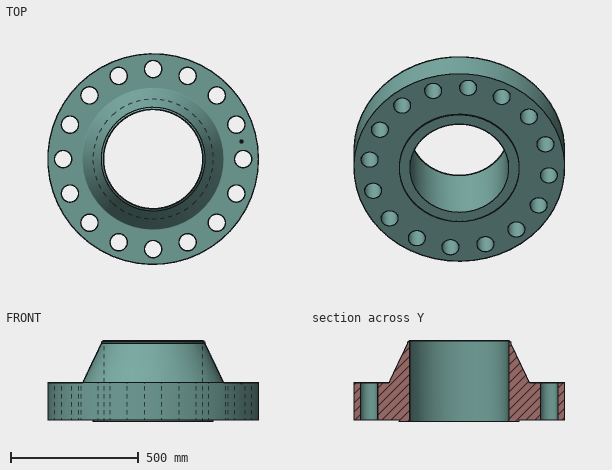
import cadquery as cq
import math

flange_diameter = 825.5
flange_thickness = 146.05
bolt_circle_diameter = 704.85
bolt_count = 16
bolt_hole_diameter = 66.675
bolt_pitch = 360 / bolt_count

raised_face_diameter = 469.9
raised_face_height = 6.35

total_height = 317.5
hub_base_diameter = 552.45
neck_diameter = 406.4
bore_diameter = 387.35
weld_land = 1.6
bevel_angle = 37.5
neck_length = 6.0
hub_fillet_radius = 3.0

marker_step_diameters = (12.7, 8.0, 4.0)
marker_step_depth = 2.0

flange_bottom = raised_face_height
flange_top = flange_bottom + flange_thickness


def make_body():
    """Revolve the ring, raised face, hub and bevelled weld end about Z."""
    bore_radius = bore_diameter / 2
    neck_radius = neck_diameter / 2
    land_radius = bore_radius + weld_land
    bevel_height = (neck_radius - land_radius) * math.tan(math.radians(bevel_angle))
    bevel_bottom = total_height - bevel_height
    profile = [
        (bore_radius, 0),
        (raised_face_diameter / 2, 0),
        (raised_face_diameter / 2, flange_bottom),
        (flange_diameter / 2, flange_bottom),
        (flange_diameter / 2, flange_top),
        (hub_base_diameter / 2, flange_top),
        (neck_radius, bevel_bottom - neck_length),
        (neck_radius, bevel_bottom),
        (land_radius, total_height),
        (bore_radius, total_height),
    ]
    return cq.Workplane("XZ").polyline(profile).close().revolve(360, (0, 0), (0, 1))


def fillet_hub_base(body):
    """Round the inside corner where the hub meets the top of the ring."""
    hub_base_radius = hub_base_diameter / 2
    corner = body.edges("%CIRCLE").filter(lambda edge: math.isclose(edge.radius(), hub_base_radius))
    return corner.fillet(hub_fillet_radius)


def drill_bolt_holes(body):
    """Drill the evenly spaced bolt holes through the ring."""
    holes = (
        cq.Workplane("XY", origin=(0, 0, flange_bottom))
        .polarArray(bolt_circle_diameter / 2, 0, 360, bolt_count)
        .circle(bolt_hole_diameter / 2)
        .extrude(flange_thickness)
    )
    return body.cut(holes)


def drill_marker_hole(body):
    """Cut the small blind hole into the top of the ring, each step narrower and deeper."""
    for step, diameter in enumerate(marker_step_diameters, start=1):
        cutter = (
            cq.Workplane("XY", origin=(0, 0, flange_top))
            .polarArray(bolt_circle_diameter / 2, bolt_pitch / 2, 0, 1)
            .circle(diameter / 2)
            .extrude(-step * marker_step_depth)
        )
        body = body.cut(cutter)
    return body


body = fillet_hub_base(make_body())
body = drill_bolt_holes(body)
result = drill_marker_hole(body)